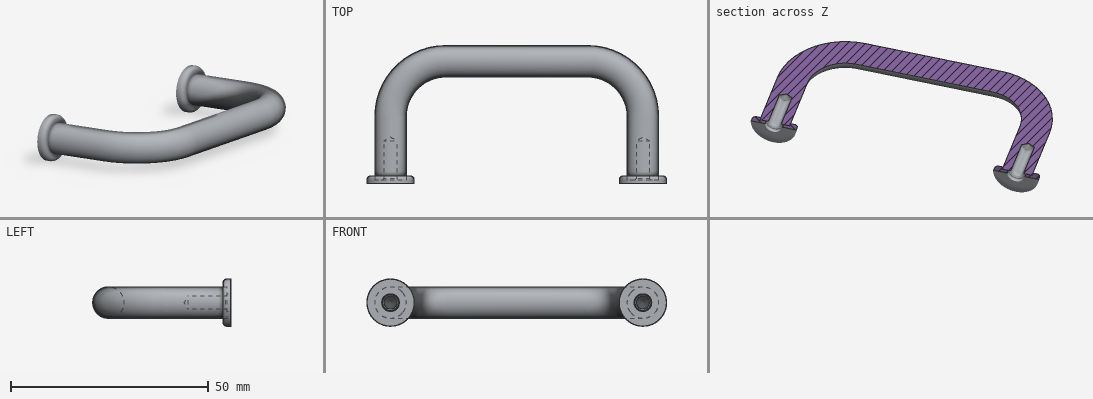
import cadquery as cq
import math

overall_length = 76.0
overall_depth = 35.0

washer_diameter = 12.0
washer_thickness = 2.0
washer_edge_radius = 1.0
washer_bore = 4.5
recess_depth = 1.0

rod_diameter = 8.0
bend_radius = 14.0

hole_diameter = 3.3
hole_depth = 9.9
hole_chamfer = 0.4
drill_point_angle = 120.0

leg_x = (overall_length - washer_diameter) / 2
grip_y = overall_depth - rod_diameter / 2
bend_x = leg_x - bend_radius
bend_y = grip_y - bend_radius
rod_end_y = washer_thickness - recess_depth
bend_middle = bend_radius * math.sqrt(0.5)


def make_bent_rod():
    """Round rod swept along one leg, the grip and the other leg."""
    centreline = (
        cq.Workplane("XY")
        .moveTo(-leg_x, rod_end_y)
        .lineTo(-leg_x, bend_y)
        .threePointArc((-bend_x - bend_middle, bend_y + bend_middle), (-bend_x, grip_y))
        .lineTo(bend_x, grip_y)
        .threePointArc((bend_x + bend_middle, bend_y + bend_middle), (leg_x, bend_y))
        .lineTo(leg_x, rod_end_y)
    )
    section = cq.Workplane("XZ", origin=(-leg_x, rod_end_y, 0)).circle(rod_diameter / 2)
    return section.sweep(centreline)


def make_hole_cutter(x):
    """Blind hole with a chamfered mouth and a conical bottom, along Y at the given X."""
    radius = hole_diameter / 2
    point_length = radius / math.tan(math.radians(drill_point_angle / 2))
    half_profile = (
        cq.Workplane("XY", origin=(x, rod_end_y, 0))
        .lineTo(radius + hole_chamfer, 0)
        .lineTo(radius, hole_chamfer)
        .lineTo(radius, hole_depth)
        .lineTo(0, hole_depth + point_length)
        .close()
    )
    return half_profile.revolve(360, (0, 0, 0), (0, 1, 0))


def make_handle():
    """Bent rod with a fixing hole in each end."""
    handle = make_bent_rod()
    for x in (-leg_x, leg_x):
        handle = handle.cut(make_hole_cutter(x))
    return handle


def make_washer(x):
    """Washer between the mounting face and a rod end, rounded and recessed on the rod side."""
    disc = cq.Workplane("XZ", origin=(x, 0, 0)).circle(washer_diameter / 2).extrude(-washer_thickness)
    disc = disc.faces(">Y").edges().fillet(washer_edge_radius)
    bore = cq.Workplane("XZ", origin=(x, 0, 0)).circle(washer_bore / 2).extrude(-washer_thickness)
    recess = cq.Workplane("XZ", origin=(x, rod_end_y, 0)).circle(rod_diameter / 2).extrude(-recess_depth)
    return disc.cut(bore).cut(recess)


handle = make_handle()
washers = [make_washer(x) for x in (-leg_x, leg_x)]

result = cq.Compound.makeCompound([handle.val(), *[washer.val() for washer in washers]])